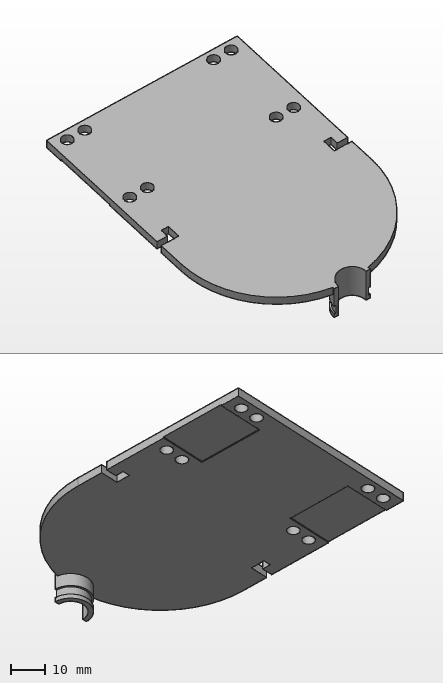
import cadquery as cq

PLATE_WIDTH = 70.64
PLATE_THICKNESS = 3.0
END_RADIUS = PLATE_WIDTH / 2
END_CENTER_X = 64.6

POST_X = 100.1
POST_Y = 0.6
POST_RADIUS = 6.7
POST_BORE_RADIUS = 5.1
POST_DEPTH = 9.0
GROOVE_RADIUS = 6.1
GROOVE_TOP = 4.4
GROOVE_BOTTOM = 7.5

HOLE_DIAMETER = 4.0
HOLE_COLUMNS = (3.5, 33.5)
HOLE_ROWS = (23.85, 30.35)

POCKET_LENGTH = 23.2
POCKET_DEPTH = 0.4
POCKET_CENTER_X = sum(HOLE_COLUMNS) / len(HOLE_COLUMNS)
POCKET_CENTER_Y = sum(HOLE_ROWS) / len(HOLE_ROWS)
POCKET_WIDTH = 2 * (PLATE_WIDTH / 2 - POCKET_CENTER_Y)

NOTCH_RIGHT = 55.0
NOTCH_ENTRY_WIDTH = 2.0
NOTCH_FOOT_LENGTH = 5.0
NOTCH_DEPTH = 6.5
NOTCH_FOOT_WIDTH = 2.6


def half_cylinder(radius, bottom, height):
    """Cylinder on the post axis, keeping only the side toward the plate."""
    return (
        cq.Workplane("XY", origin=(POST_X, POST_Y, bottom))
        .moveTo(0, -radius)
        .lineTo(0, radius)
        .threePointArc((-radius, 0), (0, -radius))
        .close()
        .extrude(height)
    )


def make_plate():
    return (
        cq.Workplane("XY")
        .moveTo(0, -END_RADIUS)
        .lineTo(END_CENTER_X, -END_RADIUS)
        .threePointArc((END_CENTER_X + END_RADIUS, 0), (END_CENTER_X, END_RADIUS))
        .lineTo(0, END_RADIUS)
        .close()
        .extrude(PLATE_THICKNESS)
    )


def make_post():
    """Post running up through the plate, with a groove around its lower part."""
    upper = half_cylinder(POST_RADIUS, -GROOVE_TOP, GROOVE_TOP + PLATE_THICKNESS)
    neck = half_cylinder(GROOVE_RADIUS, -GROOVE_BOTTOM, GROOVE_BOTTOM - GROOVE_TOP)
    lip = half_cylinder(POST_RADIUS, -POST_DEPTH, POST_DEPTH - GROOVE_BOTTOM)
    return upper.union(neck).union(lip)


def make_bore():
    return half_cylinder(POST_BORE_RADIUS, -POST_DEPTH, POST_DEPTH + PLATE_THICKNESS)


def make_holes():
    centers = [(x, side * y) for x in HOLE_COLUMNS for y in HOLE_ROWS for side in (-1, 1)]
    return cq.Workplane("XY").pushPoints(centers).circle(HOLE_DIAMETER / 2).extrude(PLATE_THICKNESS)


def make_pocket(side):
    """Shallow underside pocket on the given side (+1 or -1) of the X axis."""
    return (
        cq.Workplane("XY")
        .center(POCKET_CENTER_X, side * POCKET_CENTER_Y)
        .rect(POCKET_LENGTH, POCKET_WIDTH)
        .extrude(POCKET_DEPTH)
    )


def make_notch(side):
    """L-shaped notch in the edge on the given side (+1 or -1) of the X axis."""
    edge = side * END_RADIUS
    inner = side * (END_RADIUS - NOTCH_DEPTH)
    step = side * (END_RADIUS - NOTCH_DEPTH + NOTCH_FOOT_WIDTH)
    entry_left = NOTCH_RIGHT - NOTCH_ENTRY_WIDTH
    foot_left = NOTCH_RIGHT - NOTCH_FOOT_LENGTH
    outline = [
        (NOTCH_RIGHT, edge),
        (NOTCH_RIGHT, inner),
        (foot_left, inner),
        (foot_left, step),
        (entry_left, step),
        (entry_left, edge),
    ]
    return cq.Workplane("XY").polyline(outline).close().extrude(PLATE_THICKNESS)


result = make_plate().union(make_post()).cut(make_bore()).cut(make_holes())
for side in (-1, 1):
    result = result.cut(make_notch(side)).cut(make_pocket(side))